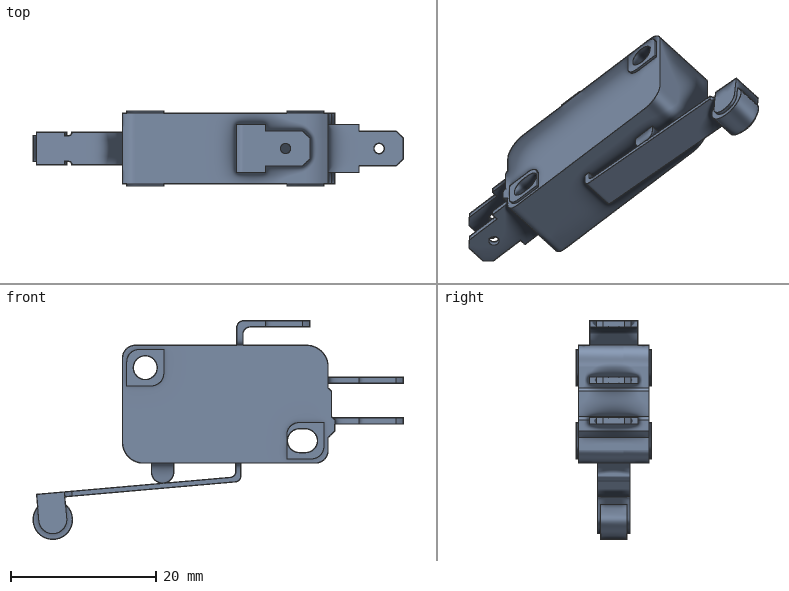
import cadquery as cq
import math


BODY_LENGTH = 28.33
BODY_HEIGHT = 16.25
BODY_WIDTH = 9.75
SEAM_Y = 1.35
RADIUS_TOP_LEFT = 1.8
RADIUS_BOTTOM_LEFT = 2.9
RADIUS_TOP_RIGHT = 3.0
RADIUS_BOTTOM_RIGHT = 1.8

STEP = 0.46
SUPPORT_TOP = 10.37
LOWER_STEP_TOP = 6.4
LOWER_STEP_BOTTOM = 4.45

PAD_LENGTH = 5.1
PAD_HEIGHT = 5.0
PAD_MARGIN = 0.6
PAD_THICKNESS = 0.3
PAD_RADIUS = 1.7
HOLE_DIAMETER = 3.25
SLOT_LENGTH = 4.1
HOLE_INSET_X = 3.15
SLOT_INSET_X = 3.55
HOLE_INSET_Z = 3.1

TAB_THICKNESS = 0.88
TAB_ROOT_WIDTH = 6.64
TAB_BLADE_WIDTH = 4.8
TAB_BLADE_LENGTH = 6.1
TAB_TIP_LENGTH = 1.0
TAB_TIP_INSET = 0.95
TAB_HOLE_DIAMETER = 1.4
TAB_HOLE_FROM_TIP = 3.35
SIDE_TAB_TIP_X = 38.68
SIDE_TAB_HEIGHTS = (5.82, 11.42)
EMBED = 1.0
TOP_TAB_X = 15.72
TOP_TAB_TIP_X = 25.8
TOP_TAB_Z = 19.63
TOP_TAB_BEND_RADIUS = 1.0

PLUNGER_X = 5.54
PLUNGER_RADIUS = 1.55
PLUNGER_WIDTH = 4.1
PLUNGER_DROP = 2.75

LEVER_ANGLE = math.radians(5)
LEVER_THICKNESS = 0.7
LEVER_WIDTH = 4.5
LEVER_BEND_RADIUS = 0.8
LEVER_POST_X = 16.3
LEVER_END_X = -11.82
LEVER_END_Z = -4.27
NOTCH_LENGTH = 1.0
NOTCH_DEPTH = 0.5
ROLLER_RADIUS = 2.72
ROLLER_WIDTH = 3.6
HOLDER_LENGTH = 3.86
ROLLER_DROP = 3.68
PIN_DIAMETER = 2.2


def extrude_along_y(profile, y_start, y_end):
    """Extrude a profile drawn on the XZ plane between two Y positions."""
    return profile.extrude(y_start - y_end).translate((0, y_start, 0))


def centred_along_y(profile, width):
    return extrude_along_y(profile, -width / 2, width / 2)


def housing_section(y_start, y_end):
    """One slice of the housing: rounded block plus the stepped terminal support."""
    block = extrude_along_y(
        cq.Workplane("XZ").rect(BODY_LENGTH, BODY_HEIGHT, centered=False), y_start, y_end
    )
    block = block.edges("|Y and <X and >Z").fillet(RADIUS_TOP_LEFT)
    block = block.edges("|Y and <X and <Z").fillet(RADIUS_BOTTOM_LEFT)
    block = block.edges("|Y and >X and >Z").fillet(RADIUS_TOP_RIGHT)
    block = block.edges("|Y and >X and <Z").fillet(RADIUS_BOTTOM_RIGHT)

    upper_x = BODY_LENGTH + STEP
    lower_x = BODY_LENGTH + 2 * STEP
    support = (
        cq.Workplane("XZ")
        .moveTo(BODY_LENGTH - EMBED, SUPPORT_TOP)
        .lineTo(BODY_LENGTH, SUPPORT_TOP)
        .lineTo(upper_x, SUPPORT_TOP - STEP)
        .lineTo(upper_x, LOWER_STEP_TOP)
        .lineTo(lower_x, LOWER_STEP_TOP - STEP)
        .lineTo(lower_x, LOWER_STEP_BOTTOM)
        .lineTo(BODY_LENGTH, LOWER_STEP_BOTTOM - 2 * STEP)
        .lineTo(BODY_LENGTH - EMBED, LOWER_STEP_BOTTOM - 2 * STEP)
        .close()
    )
    return block.union(extrude_along_y(support, y_start, y_end))


def mounting_pads():
    """Raised pads, on both sides, in two opposite corners."""
    left_x = PAD_MARGIN + PAD_LENGTH / 2
    low_z = PAD_MARGIN + PAD_HEIGHT / 2
    centres = [(left_x, BODY_HEIGHT - low_z), (BODY_LENGTH - left_x, low_z)]
    pads = centred_along_y(
        cq.Workplane("XZ").pushPoints(centres).rect(PAD_LENGTH, PAD_HEIGHT),
        BODY_WIDTH + 2 * PAD_THICKNESS,
    )
    rounded = cq.Workplane("XZ")
    for pad in pads.solids().vals():
        corners = cq.Workplane(pad).edges("(|Y and <X and >Z) or (|Y and >X and <Z)")
        rounded = rounded.add(corners.fillet(PAD_RADIUS))
    return rounded.combine()


def mounting_holes():
    depth = BODY_WIDTH + 4 * PAD_THICKNESS
    round_hole = cq.Workplane("XZ").center(HOLE_INSET_X, BODY_HEIGHT - HOLE_INSET_Z)
    round_hole = round_hole.circle(HOLE_DIAMETER / 2)
    slot = cq.Workplane("XZ").center(BODY_LENGTH - SLOT_INSET_X, HOLE_INSET_Z)
    slot = slot.slot2D(SLOT_LENGTH, HOLE_DIAMETER)
    return centred_along_y(round_hole, depth).union(centred_along_y(slot, depth))


def flat_tab(root_x, tip_x, mid_z):
    """Horizontal blade terminal with a wide root, bevelled tip and a hole."""
    shoulder_x = tip_x - TAB_BLADE_LENGTH
    half_root = TAB_ROOT_WIDTH / 2
    half_blade = TAB_BLADE_WIDTH / 2
    return (
        cq.Workplane("XY")
        .moveTo(root_x, 0)
        .lineTo(root_x, half_root)
        .lineTo(shoulder_x, half_root)
        .lineTo(shoulder_x, half_blade)
        .lineTo(tip_x - TAB_TIP_LENGTH, half_blade)
        .lineTo(tip_x, half_blade - TAB_TIP_INSET)
        .lineTo(tip_x, 0)
        .mirrorX()
        .extrude(TAB_THICKNESS)
        .cut(
            cq.Workplane("XY")
            .center(tip_x - TAB_HOLE_FROM_TIP, 0)
            .circle(TAB_HOLE_DIAMETER / 2)
            .extrude(TAB_THICKNESS)
        )
        .translate((0, 0, mid_z - TAB_THICKNESS / 2))
    )


def top_tab():
    """Terminal rising from the top face and bent over to the right."""
    inner_x = TOP_TAB_X + TAB_THICKNESS
    under_z = TOP_TAB_Z - TAB_THICKNESS
    bend_end_x = inner_x + TOP_TAB_BEND_RADIUS
    base_z = BODY_HEIGHT - EMBED
    elbow = (
        cq.Workplane("XZ")
        .moveTo(TOP_TAB_X, base_z)
        .lineTo(TOP_TAB_X, TOP_TAB_Z - TOP_TAB_BEND_RADIUS)
        .radiusArc((TOP_TAB_X + TOP_TAB_BEND_RADIUS, TOP_TAB_Z), TOP_TAB_BEND_RADIUS)
        .lineTo(bend_end_x, TOP_TAB_Z)
        .lineTo(bend_end_x, under_z)
        .radiusArc((inner_x, under_z - TOP_TAB_BEND_RADIUS), -TOP_TAB_BEND_RADIUS)
        .lineTo(inner_x, base_z)
        .close()
    )
    blade = flat_tab(bend_end_x, TOP_TAB_TIP_X, TOP_TAB_Z - TAB_THICKNESS / 2)
    return centred_along_y(elbow, TAB_ROOT_WIDTH).union(blade)


def plunger():
    """Actuating button with a half-round lower end."""
    axis_z = PLUNGER_RADIUS - PLUNGER_DROP
    profile = (
        cq.Workplane("XZ")
        .moveTo(PLUNGER_X - PLUNGER_RADIUS, EMBED)
        .lineTo(PLUNGER_X - PLUNGER_RADIUS, axis_z)
        .threePointArc((PLUNGER_X, -PLUNGER_DROP), (PLUNGER_X + PLUNGER_RADIUS, axis_z))
        .lineTo(PLUNGER_X + PLUNGER_RADIUS, EMBED)
        .close()
    )
    return centred_along_y(profile, PLUNGER_WIDTH)


def lever_point(along, above):
    """XZ position measured along, and square to, the top of the lever arm from its free end."""
    return (
        LEVER_END_X + along * math.cos(LEVER_ANGLE) - above * math.sin(LEVER_ANGLE),
        LEVER_END_Z + along * math.sin(LEVER_ANGLE) + above * math.cos(LEVER_ANGLE),
    )


def tilt_with_lever(shape):
    """Move a shape built level at the origin to the free end of the lever."""
    tilted = shape.rotate((0, 0, 0), (0, 1, 0), -math.degrees(LEVER_ANGLE))
    return tilted.translate((LEVER_END_X, 0, LEVER_END_Z))


def lever_strip():
    """Sloping arm bent up into the post that enters the housing."""
    post_inner_x = LEVER_POST_X - LEVER_THICKNESS
    inner_z = LEVER_END_Z + (post_inner_x - LEVER_END_X) * math.tan(LEVER_ANGLE)
    under_start = lever_point(0, -LEVER_THICKNESS)
    outer_z = under_start[1] + (LEVER_POST_X - under_start[0]) * math.tan(LEVER_ANGLE)
    profile = (
        cq.Workplane("XZ")
        .moveTo(LEVER_END_X, LEVER_END_Z)
        .lineTo(post_inner_x, inner_z)
        .lineTo(post_inner_x, EMBED)
        .lineTo(LEVER_POST_X, EMBED)
        .lineTo(LEVER_POST_X, outer_z)
        .lineTo(*under_start)
        .close()
    )
    strip = centred_along_y(profile, LEVER_WIDTH)
    for corner in ((post_inner_x, 0, inner_z), (LEVER_POST_X, 0, outer_z)):
        strip = strip.edges(cq.selectors.NearestToPointSelector(corner)).fillet(LEVER_BEND_RADIUS)
    return strip


def lever_notches():
    """Edge notches beside the roller holder, each with one rounded inner corner."""
    notch_end = HOLDER_LENGTH + NOTCH_LENGTH
    edge_y = LEVER_WIDTH / 2
    notch = (
        cq.Workplane("XY")
        .moveTo(HOLDER_LENGTH, edge_y)
        .lineTo(HOLDER_LENGTH, edge_y - NOTCH_DEPTH)
        .lineTo(notch_end - NOTCH_DEPTH, edge_y - NOTCH_DEPTH)
        .radiusArc((notch_end, edge_y), -NOTCH_DEPTH)
        .close()
        .extrude(-LEVER_THICKNESS)
    )
    return tilt_with_lever(notch.union(notch.mirror("XZ")))


def roller_holder():
    """Block under the free end of the lever, rounded about the roller axis."""
    profile = (
        cq.Workplane("XZ")
        .lineTo(HOLDER_LENGTH, 0)
        .lineTo(HOLDER_LENGTH, -ROLLER_DROP)
        .threePointArc((HOLDER_LENGTH / 2, -ROLLER_DROP - HOLDER_LENGTH / 2), (0, -ROLLER_DROP))
        .close()
    )
    return tilt_with_lever(centred_along_y(profile, LEVER_WIDTH))


def roller_cylinder(radius, width):
    axis = cq.Workplane("XZ").center(*lever_point(HOLDER_LENGTH / 2, -ROLLER_DROP))
    return centred_along_y(axis.circle(radius), width)


def build_switch():
    base = housing_section(-BODY_WIDTH / 2, SEAM_Y)
    cover = housing_section(SEAM_Y, BODY_WIDTH / 2)
    switch = base.union(cover, clean=False)
    switch = switch.union(mounting_pads(), clean=False)
    switch = switch.cut(mounting_holes(), clean=False)

    lever = lever_strip().cut(lever_notches()).union(roller_holder())
    lever = lever.union(roller_cylinder(ROLLER_RADIUS, ROLLER_WIDTH))
    lever = lever.union(roller_cylinder(PIN_DIAMETER / 2, LEVER_WIDTH), clean=False)

    inserts = [top_tab(), plunger(), lever]
    for height in SIDE_TAB_HEIGHTS:
        inserts.append(flat_tab(BODY_LENGTH - EMBED, SIDE_TAB_TIP_X, height))
    for insert in inserts:
        switch = switch.union(insert, clean=False)
    return switch


result = build_switch()